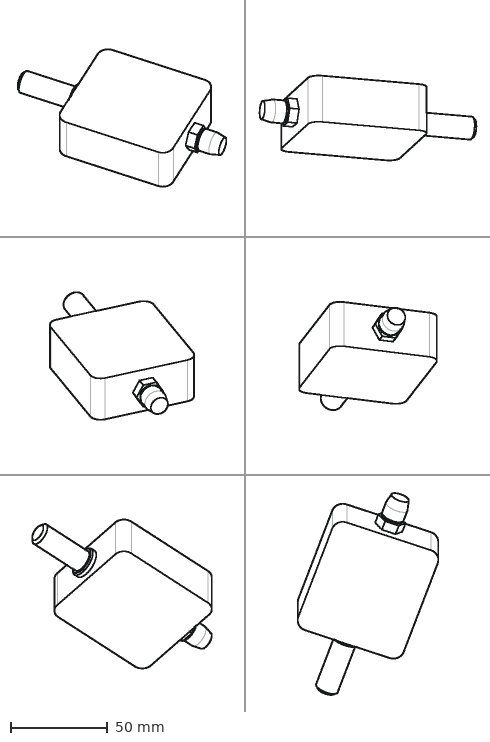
import cadquery as cq
import math

total_length = 114.6

body_length = 64.0
body_width = 58.0
body_height = 25.0
corner_radius = 5.8

hex_across_flats = 13.0
hex_across_corners = hex_across_flats / math.cos(math.pi / 6)
hex_length = 5.0
neck_diameter = 11.0
neck_length = 1.0
sleeve_diameter = 12.0
sleeve_length = 6.3
taper_length = 5.3
taper_end_diameter = 9.6

shaft_diameter = 12.0
shaft_chamfer = 1.5
collar_diameter = 16.0
collar_length = 3.1
collar_chamfer = 0.8

body_end = body_length / 2
fitting_length = hex_length + neck_length + sleeve_length + taper_length
shaft_length = total_length - body_length - fitting_length


def make_body():
    """Housing block with rounded vertical edges."""
    block = cq.Workplane("XY").box(body_length, body_width, body_height)
    return block.edges("|Z").fillet(corner_radius)


def make_chamfered_pin(diameter, length, chamfer):
    """Round pin standing out of the -X face, chamfered at its free end."""
    pin = cq.Workplane("YZ", origin=(-body_end, 0, 0)).circle(diameter / 2).extrude(-length)
    return pin.faces("<X").chamfer(chamfer)


def make_hexagon():
    """Hexagon on the +X face, with corners pointing along -Y and +Y."""
    return (
        cq.Workplane("YZ", origin=(body_end, 0, 0))
        .polygon(6, hex_across_corners)
        .extrude(hex_length)
    )


def make_sleeve():
    """Turned neck, sleeve and taper beyond the hexagon."""
    neck_start = body_end + hex_length
    sleeve_start = neck_start + neck_length
    taper_start = sleeve_start + sleeve_length
    taper_end = taper_start + taper_length
    profile = (
        cq.Workplane("XY")
        .moveTo(neck_start, 0)
        .lineTo(neck_start, neck_diameter / 2)
        .lineTo(sleeve_start, neck_diameter / 2)
        .lineTo(sleeve_start, sleeve_diameter / 2)
        .lineTo(taper_start, sleeve_diameter / 2)
        .lineTo(taper_end, taper_end_diameter / 2)
        .lineTo(taper_end, 0)
        .close()
    )
    return profile.revolve(360, (0, 0, 0), (1, 0, 0))


shaft = make_chamfered_pin(shaft_diameter, shaft_length, shaft_chamfer)
collar = make_chamfered_pin(collar_diameter, collar_length, collar_chamfer)

result = make_body().union(collar).union(shaft).union(make_hexagon()).union(make_sleeve())